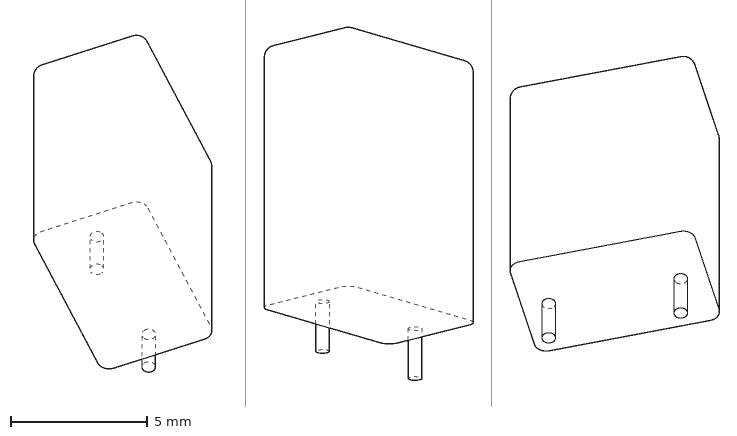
import cadquery as cq

body_length = 7.0
body_width = 4.5
body_height = 10.0
edge_radius = 0.45

total_height = 11.9
lead_length = total_height - body_height
lead_diameter = 0.5
lead_spacing = 5.0


def make_body():
    """Box with rounded upright and top edges and a flat, sharp-edged base."""
    box = cq.Workplane("XY").box(body_length, body_width, body_height, centered=(True, True, False))
    return box.edges("|Z or >Z").fillet(edge_radius)


def make_leads():
    """Two straight pins hanging from the base, spaced along X."""
    half_spacing = lead_spacing / 2
    return (
        cq.Workplane("XY")
        .pushPoints([(-half_spacing, 0), (half_spacing, 0)])
        .circle(lead_diameter / 2)
        .extrude(-lead_length)
    )


result = make_body().union(make_leads())